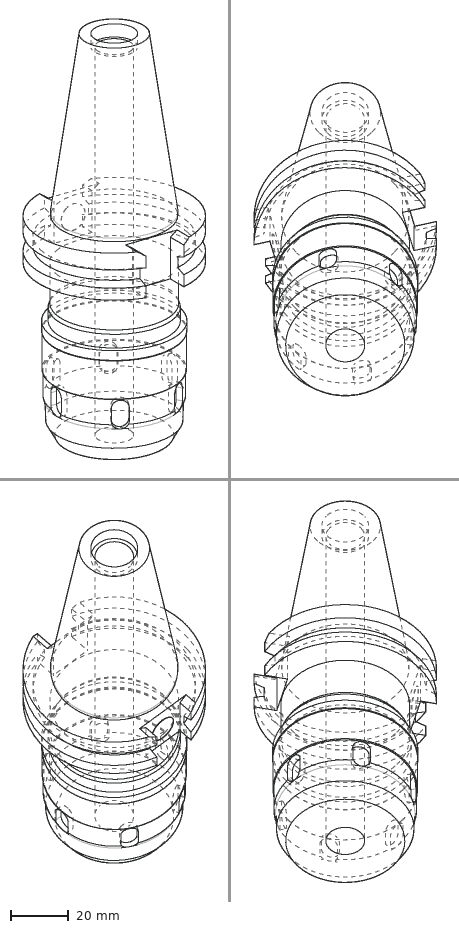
import cadquery as cq

total_height = 153.2

nose_radius = 20.7
nose_chamfer_top_radius = 23.9
nose_chamfer_height = 5.8
lower_nut_radius = 24.2
lower_nut_top = 13.3
slot_band_bottom = 15.2
slot_band_radius = 24.8
slot_band_top = 24.8
nut_radius = 25.1
nut_edge_height = 0.3
nut_top = 39.7
collar_radius = 25.3
collar_top = 43.7

shoulder_radius = 23.0
shoulder_top = 48.9
shoulder_chamfer_height = 1.4
body_radius = 22.4

flange_radius = 31.7
flange_bottom = 65.9
flange_top = 83.8
groove_radius = 28.2
groove_bottom = 70.5
groove_top = 77.4
groove_side_height = 1.4

neck_radius = 22.0
taper_bottom = 85.2
taper_ratio = 7 / 24
taper_top_radius = 12.3
taper_bottom_radius = taper_top_radius + (total_height - taper_bottom) * taper_ratio / 2

bore_radius = 6.7
counterbore_radius = 8.1
counterbore_depth = 5.0

drive_slot_width = 16.1
drive_slot_chamfer_width = 2.9
drive_slot_chamfer_height = 2.0
left_slot_floor = 25.0
right_slot_floor = 22.5

recess_radius = 5.0
recess_depth = 0.2
recess_height = 73.9

wrench_slot_count = 6
wrench_slot_width = 6.3
wrench_slot_bottom = 13.3
wrench_slot_top = 24.5
wrench_slot_floor = 22.2
first_wrench_slot_angle = 90
wrench_slot_pitch = 360 / wrench_slot_count


def turned_body():
    """Solid of revolution without the bore."""
    profile = [
        (0, 0),
        (nose_radius, 0),
        (nose_chamfer_top_radius, nose_chamfer_height),
        (lower_nut_radius, lower_nut_top),
        (slot_band_radius, slot_band_bottom),
        (slot_band_radius, slot_band_top),
        (nut_radius, slot_band_top + nut_edge_height),
        (nut_radius, nut_top),
        (collar_radius, nut_top + nut_edge_height),
        (collar_radius, collar_top),
        (shoulder_radius, collar_top),
        (shoulder_radius, shoulder_top),
        (body_radius, shoulder_top + shoulder_chamfer_height),
        (body_radius, flange_bottom),
        (flange_radius, flange_bottom),
        (flange_radius, groove_bottom),
        (groove_radius, groove_bottom + groove_side_height),
        (groove_radius, groove_top - groove_side_height),
        (flange_radius, groove_top),
        (flange_radius, flange_top),
        (neck_radius, flange_top),
        (taper_bottom_radius, taper_bottom),
        (taper_top_radius, total_height),
        (0, total_height),
    ]
    return cq.Workplane("YZ").polyline(profile).close().revolve(360, (0, 0), (0, 1))


def stepped_bore():
    """Through bore with a counterbore at the small end of the taper."""
    bore = cq.Workplane("XY").circle(bore_radius).extrude(total_height)
    counterbore = (
        cq.Workplane("XY")
        .workplane(offset=total_height - counterbore_depth)
        .circle(counterbore_radius)
        .extrude(counterbore_depth)
    )
    return bore.union(counterbore)


def drive_slot(floor_distance, side):
    """Flange slot with chamfered upper edges; side is +1 for +X and -1 for -X."""
    half_width = drive_slot_width / 2
    top_half_width = half_width + drive_slot_chamfer_width
    chamfer_bottom = flange_top - drive_slot_chamfer_height
    section = [
        (-half_width, flange_bottom),
        (half_width, flange_bottom),
        (half_width, chamfer_bottom),
        (top_half_width, flange_top),
        (-top_half_width, flange_top),
        (-half_width, chamfer_bottom),
    ]
    return (
        cq.Workplane("YZ")
        .workplane(offset=side * floor_distance)
        .polyline(section)
        .close()
        .extrude(side * (flange_radius - floor_distance))
    )


def floor_recess():
    """Round recess sunk into the -X slot floor."""
    return (
        cq.Workplane("YZ", origin=(-left_slot_floor, 0, recess_height))
        .circle(recess_radius)
        .extrude(recess_depth)
    )


def wrench_slot(angle):
    """Flat-bottomed upright slot cut inward from the nut surface."""
    slot_length = wrench_slot_top - wrench_slot_bottom
    slot_middle = (wrench_slot_top + wrench_slot_bottom) / 2
    return (
        cq.Workplane("YZ", origin=(wrench_slot_floor, 0, slot_middle))
        .slot2D(slot_length, wrench_slot_width, 90)
        .extrude(collar_radius - wrench_slot_floor)
        .rotate((0, 0, 0), (0, 0, 1), angle)
    )


result = turned_body().cut(stepped_bore())
result = result.cut(drive_slot(left_slot_floor, -1))
result = result.cut(floor_recess())
result = result.cut(drive_slot(right_slot_floor, 1))
for index in range(wrench_slot_count):
    result = result.cut(wrench_slot(first_wrench_slot_angle + index * wrench_slot_pitch))